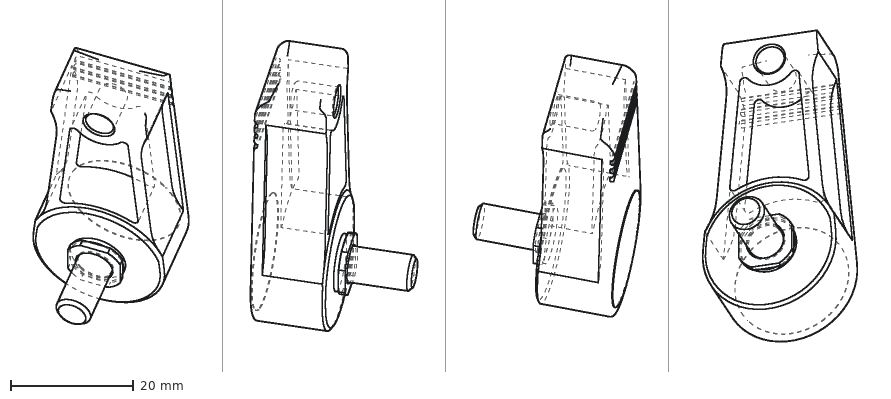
import math

import cadquery as cq


hub_radius = 11.45
side_lean = math.radians(5.1)
arm_depth = 12.1
corner_height = 39.6
overall_height = 51.45
ridge_height = overall_height - hub_radius
front_top_height = 39.805
front_top_radius = 2.0
back_top_radius = 4.1
edge_radius = 0.45

rim_height = 0.45
rim_foot_radius = 11.95
rim_shoulder_height = 0.2
rim_shoulder_radius = 11.65
rim_face_radius = 11.1
rim_edge_inset = 0.6
rim_edge_height = 0.4
back_pad_radius = 9.8
back_pad_height = 0.15

collar_diameter = 9.6
collar_height = 0.75
square_size = 9.1
square_corner_diameter = 10.3
square_height = 1.15
seat_diameter = 6.5
seat_depth = 0.4
pin_diameter = 6.0
pin_chamfer = 0.6
overall_depth = 25.2
pin_tip = overall_depth - arm_depth - back_pad_height

handle_height = 34.9
handle_hole_diameter = 4.85
handle_hole_depth = 7.4
handle_hole_floor_radius = 0.6
handle_countersink = 0.335

pocket_depth = 8.0
pocket_side_wall = 3.6
pocket_bottom_radius = 12.85
pocket_top = 32.1
pocket_boss_radius = 4.81
pocket_corner_radius = 0.7

recess_length_y = 10.1
recess_depth = 1.5
recess_end_radius = 12.35
recess_floor_start = 9.5
recess_floor_end = 28.2

groove_pitch = 2.05
groove_count = 3
top_groove_height = 34.55
groove_depth = 0.6
groove_mouth = 1.45
groove_root = 0.5

cut_margin = 0.5


def front_plane(y):
    """Sketch plane facing -Y at the given Y: local x is +X, local y is +Z."""
    return cq.Workplane("XZ", origin=(0, y, 0))


def disc(y_back, diameter, height):
    """Cylinder on the hub axis from y_back towards -Y."""
    return front_plane(y_back).circle(diameter / 2).extrude(height)


def side_point(along, inset):
    """Point on the right side line: distance up from its hub tangent point, and depth into the arm."""
    radial = hub_radius - inset
    x = radial * math.cos(side_lean) - along * math.sin(side_lean)
    z = radial * math.sin(side_lean) + along * math.cos(side_lean)
    return x, z


def side_x(height, inset):
    """Half width of the arm at a height, measured to a line inset from the side."""
    return (hub_radius - inset - height * math.sin(side_lean)) / math.cos(side_lean)


def mirrored(point):
    return -point[0], point[1]


def arm_outline(y):
    """Round hub and straight leaning sides up to a low roof, drawn in the plane at y."""
    tangent_point = side_point(0, 0)
    corner = (side_x(corner_height, 0), corner_height)
    return (
        front_plane(y)
        .moveTo(*tangent_point)
        .lineTo(*corner)
        .lineTo(0, ridge_height)
        .lineTo(*mirrored(corner))
        .lineTo(*mirrored(tangent_point))
        .threePointArc((0, -hub_radius), tangent_point)
        .close()
    )


def arm_body():
    """Arm block with a low roof, sloped down to the front and rounded over towards front and back."""
    block = arm_outline(arm_depth).extrude(arm_depth)
    top_corners = cq.selectors.BoxSelector(
        (-hub_radius, 0, corner_height - edge_radius),
        (hub_radius, arm_depth, (corner_height + ridge_height) / 2),
    )
    block = block.edges("|Y").edges(top_corners).fillet(edge_radius)
    block = block.faces(">Y").edges().fillet(edge_radius)
    side_profile = (
        cq.Workplane("YZ")
        .moveTo(0, -hub_radius - cut_margin)
        .lineTo(arm_depth, -hub_radius - cut_margin)
        .lineTo(arm_depth, ridge_height - back_top_radius)
        .radiusArc((arm_depth - back_top_radius, ridge_height), -back_top_radius)
        .lineTo(front_top_radius, front_top_height)
        .radiusArc((0, front_top_height - front_top_radius), -front_top_radius)
        .close()
        .extrude(2 * hub_radius, both=True)
    )
    return block.intersect(side_profile)


def hub_rim():
    """Stepped, bevelled rim on the hub face, trimmed to the arm outline."""
    profile = [
        (0, 0),
        (rim_foot_radius, 0),
        (rim_shoulder_radius, -rim_shoulder_height),
        (rim_face_radius, -rim_height),
        (0, -rim_height),
    ]
    rim = cq.Workplane("XY").polyline(profile).close().revolve(360, (0, 0, 0), (0, 1, 0))
    trim = arm_outline(0).extrude(rim_height).faces("<Y").chamfer(rim_edge_height, rim_edge_inset)
    return rim.intersect(trim)


def collar_and_pin():
    """Round collar, rounded square with a seat sunk into it, and the pin rising from the seat."""
    collar_face = -rim_height - collar_height
    square_face = collar_face - square_height
    seat_floor = square_face + seat_depth
    collar = disc(-rim_height, collar_diameter, collar_height)
    square = front_plane(collar_face).rect(square_size, square_size).extrude(square_height)
    square = square.intersect(disc(collar_face, square_corner_diameter, square_height))
    seat = disc(seat_floor, seat_diameter, seat_depth)
    pin = disc(seat_floor, pin_diameter, pin_tip + seat_floor).faces("<Y").chamfer(pin_chamfer)
    return collar.union(square).cut(seat).union(pin)


def handle_hole():
    """Blind hole with a rounded floor edge and a countersunk mouth."""
    radius = handle_hole_diameter / 2
    hole = (
        cq.Workplane("XZ", origin=(0, handle_hole_depth, handle_height))
        .circle(radius)
        .extrude(handle_hole_depth)
        .faces(">Y")
        .edges()
        .fillet(handle_hole_floor_radius)
    )
    countersink = cq.Workplane(
        cq.Solid.makeCone(
            radius + handle_countersink,
            radius,
            handle_countersink,
            pnt=cq.Vector(0, 0, handle_height),
            dir=cq.Vector(0, 1, 0),
        )
    )
    return hole.union(countersink)


def front_pocket():
    """Tapered pocket with arcs concentric with the hub below and the handle hole above."""
    top_half_width = side_x(pocket_top, pocket_side_wall)
    bottom_half_width = side_x(0, pocket_side_wall)
    outline = [
        (-bottom_half_width, 0),
        (bottom_half_width, 0),
        (top_half_width, pocket_top),
        (-top_half_width, pocket_top),
    ]
    pocket = front_plane(pocket_depth).polyline(outline).close().extrude(pocket_depth)
    pocket = pocket.cut(disc(pocket_depth, 2 * pocket_bottom_radius, pocket_depth))
    boss = front_plane(pocket_depth).center(0, handle_height).circle(pocket_boss_radius).extrude(pocket_depth)
    return pocket.cut(boss).edges("|Y").fillet(pocket_corner_radius)


def side_recess():
    """Recess in the right side: a floor parallel to the side that runs out along an arc at each end."""
    sweep = math.acos(1 - recess_depth / recess_end_radius)

    def runout(floor_end, direction, angle):
        along = floor_end + direction * recess_end_radius * math.sin(angle)
        return side_point(along, recess_depth - recess_end_radius * (1 - math.cos(angle)))

    lower_end = runout(recess_floor_start, -1, sweep)
    upper_end = runout(recess_floor_end, 1, sweep)
    lower_middle = runout(recess_floor_start, -1, sweep / 2)
    upper_middle = runout(recess_floor_end, 1, sweep / 2)
    clear_of_side = -cut_margin
    return (
        front_plane(recess_length_y)
        .moveTo(*lower_end)
        .threePointArc(lower_middle, side_point(recess_floor_start, recess_depth))
        .lineTo(*side_point(recess_floor_end, recess_depth))
        .threePointArc(upper_middle, upper_end)
        .lineTo(*side_point(recess_floor_end, clear_of_side))
        .lineTo(*side_point(recess_floor_start, clear_of_side))
        .close()
        .extrude(recess_length_y)
    )


def grip_groove(height):
    """Trapezoidal groove across the whole width of the back face."""
    root_y = arm_depth - groove_depth
    profile = [
        (arm_depth, height - groove_mouth / 2),
        (root_y, height - groove_root / 2),
        (root_y, height + groove_root / 2),
        (arm_depth, height + groove_mouth / 2),
    ]
    return cq.Workplane("YZ").polyline(profile).close().extrude(hub_radius, both=True)


result = arm_body()
right_recess = side_recess()
result = result.cut(right_recess).cut(right_recess.mirror("YZ"))
result = result.cut(front_pocket()).cut(handle_hole())
for groove_index in range(groove_count):
    result = result.cut(grip_groove(top_groove_height - groove_index * groove_pitch))
back_pad = disc(arm_depth + back_pad_height, 2 * back_pad_radius, back_pad_height)
result = result.union(back_pad).union(hub_rim()).union(collar_and_pin())